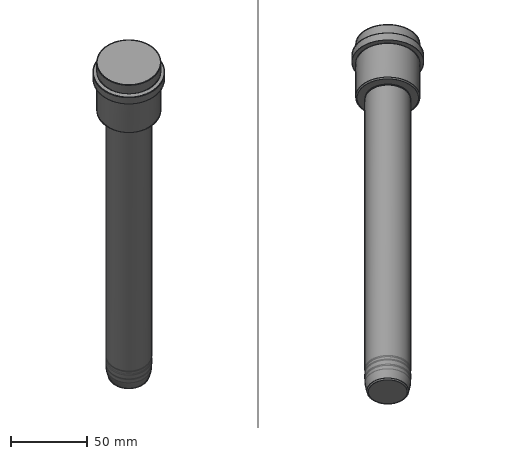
import cadquery as cq

total_length = 290.0
shaft_radius = 30.2 / 2
edge_chamfer = 0.3

head_radius = 42.0 / 2
head_length = 45.0
head_lower_chamfer = 1.0
collar_radius = 47.0 / 2
collar_drop = 9.0
collar_height = 6.0
relief_width = 1.0
collar_relief_depth = 1.0
shaft_relief_depth = 0.3

nose_height = 7.5
nose_arc_bottom = 1.0
nose_arc_end_radius = 13.5
nose_mid_radius = 14.5
nose_tip_radius = 12.8

band_depth = 0.15
band_height = 3.8
band_flank = 1.0
groove_bottom = 14.8

head_bottom = total_length - head_length
collar_top = total_length - collar_drop
collar_bottom = collar_top - collar_height
band_radius = shaft_radius - band_depth
neck_top = nose_height + band_height


def cylinder(radius, bottom, top):
    return cq.Workplane("XY").workplane(offset=bottom).circle(radius).extrude(top - bottom)


def turned(points):
    """Revolve a closed (radius, height) outline about Z."""
    return cq.Workplane("XZ").polyline(points).close().revolve(360, (0, 0, 0), (0, 1, 0))


def nosed_shaft():
    """Shaft with a slightly thinner neck, curving inward to a chamfered flat tip."""
    nose_mid_height = (nose_arc_bottom + nose_height) / 2
    return (
        cq.Workplane("XZ")
        .lineTo(nose_tip_radius, 0)
        .lineTo(nose_arc_end_radius, nose_arc_bottom)
        .threePointArc((nose_mid_radius, nose_mid_height), (band_radius, nose_height))
        .lineTo(band_radius, neck_top - band_flank)
        .lineTo(shaft_radius, neck_top)
        .lineTo(shaft_radius, head_bottom)
        .lineTo(0, head_bottom)
        .close()
        .revolve(360, (0, 0, 0), (0, 1, 0))
    )


def groove():
    """Ring to remove from the shaft, with a flat floor and sloping sides."""
    groove_top = groove_bottom + band_height
    return turned([
        (shaft_radius, groove_bottom),
        (band_radius, groove_bottom + band_flank),
        (band_radius, groove_top - band_flank),
        (shaft_radius, groove_top),
    ])


def shaft_relief():
    """Narrow square ring to remove from the shaft just under the head."""
    bottom = head_bottom - relief_width
    core = cylinder(shaft_radius - shaft_relief_depth, bottom, head_bottom)
    return cylinder(shaft_radius, bottom, head_bottom).cut(core)


def collar_relief(collar_face, direction):
    """Tapered ring to remove from the head beside a collar face; direction points away from the collar."""
    return turned([
        (head_radius, collar_face),
        (head_radius - collar_relief_depth, collar_face),
        (head_radius, collar_face + direction * relief_width),
    ])


def head():
    """Cylindrical head with chamfered rims, a raised collar and a relief on each side of the collar."""
    body = cylinder(head_radius, head_bottom, total_length)
    body = body.faces("<Z").chamfer(head_lower_chamfer)
    body = body.faces(">Z").chamfer(edge_chamfer)
    body = body.cut(collar_relief(collar_top, 1))
    body = body.cut(collar_relief(collar_bottom, -1))
    collar = cylinder(collar_radius, collar_bottom, collar_top).faces(">Z").chamfer(edge_chamfer)
    return body.union(collar)


shaft = nosed_shaft().cut(shaft_relief()).cut(groove())
result = shaft.union(head())